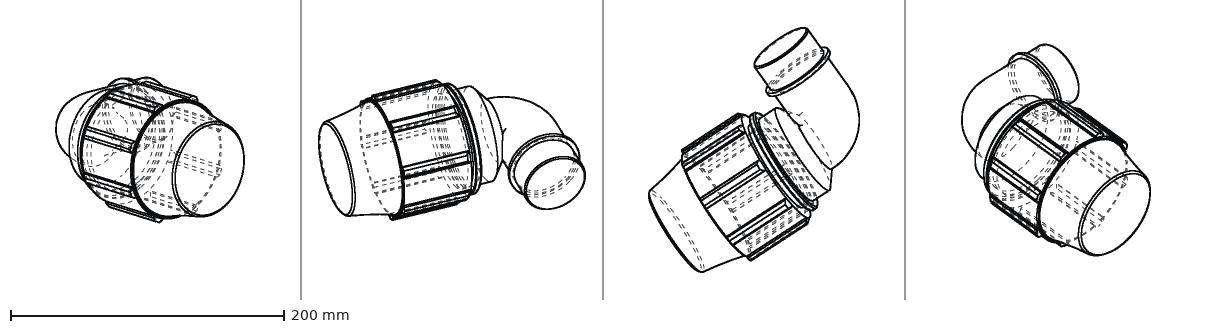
import cadquery as cq
import math

pipe_radius = 23.92
flange_radius = 27.52
spigot_end = 74.0
spigot_chamfer = 1.0
spigot_flange_start = 49.5
spigot_flange_thickness = 2.7
bend_radius = 19.5

cone_start = 20.8
cone_end = 30.5
neck_radius = 36.0
collar_start = 45.0
collar_end = 49.7
collar_radius = 41.75
collar_front_chamfer = 1.2
collar_rear_chamfer = 0.7

total_length = 171.5
body_end = total_length - flange_radius
nut_start = 54.2
nut_end = 108.0
nut_radius = 44.8
nut_chamfer = 0.9
tail_start_radius = 42.7
tail_end_radius = 35.7
tail_hollow = 0.6
tail_chamfer = 1.5

rib_count = 8
rib_tip = 47.98
rib_shoulder = 46.0
rib_root = 42.9
rib_tip_width = 4.5
rib_base_width = 9.0
rib_end = nut_end - nut_chamfer
rib_end_slope = 3.1


def make_spigot():
    """Straight pipe with a chamfered mouth and a thin flange."""
    profile = (
        cq.Workplane("XY")
        .moveTo(0, bend_radius)
        .lineTo(pipe_radius, bend_radius)
        .lineTo(pipe_radius, spigot_flange_start)
        .lineTo(flange_radius, spigot_flange_start)
        .lineTo(flange_radius, spigot_flange_start + spigot_flange_thickness)
        .lineTo(pipe_radius, spigot_flange_start + spigot_flange_thickness)
        .lineTo(pipe_radius, spigot_end - spigot_chamfer)
        .lineTo(pipe_radius - spigot_chamfer, spigot_end)
        .lineTo(0, spigot_end)
        .close()
    )
    return profile.revolve(360, (0, 0, 0), (0, 1, 0))


def make_elbow():
    """Quarter bend; the pipe section is cut off flat where it meets the bend axis."""
    half_chord = math.sqrt(pipe_radius**2 - bend_radius**2)
    section = (
        cq.Workplane("XZ", origin=(0, bend_radius, 0))
        .moveTo(bend_radius, -half_chord)
        .threePointArc((-pipe_radius, 0), (bend_radius, half_chord))
        .close()
    )
    return section.revolve(90, (bend_radius, 0, 0), (bend_radius, 1, 0))


def make_body():
    """Cone, neck, collar, nut and tapering tail, turned about X."""
    tail_middle = (
        (nut_end + body_end - tail_chamfer) / 2,
        (tail_start_radius + tail_end_radius) / 2 - tail_hollow,
    )
    profile = (
        cq.Workplane("XY")
        .moveTo(bend_radius, 0)
        .lineTo(bend_radius, pipe_radius)
        .lineTo(cone_start, pipe_radius)
        .lineTo(cone_end, neck_radius)
        .lineTo(collar_start, neck_radius)
        .lineTo(collar_start, collar_radius - collar_front_chamfer)
        .lineTo(collar_start + collar_front_chamfer, collar_radius)
        .lineTo(collar_end - collar_rear_chamfer, collar_radius)
        .lineTo(collar_end, collar_radius - collar_rear_chamfer)
        .lineTo(collar_end, neck_radius)
        .lineTo(nut_start, neck_radius)
        .lineTo(nut_start, nut_radius)
        .lineTo(nut_end - nut_chamfer, nut_radius)
        .lineTo(nut_end, nut_radius - nut_chamfer)
        .lineTo(nut_end, tail_start_radius)
        .threePointArc(tail_middle, (body_end - tail_chamfer, tail_end_radius))
        .lineTo(body_end, tail_end_radius - tail_chamfer)
        .lineTo(body_end, 0)
        .close()
    )
    return profile.revolve(360, (0, 0, 0), (1, 0, 0))


def make_rib():
    """Grip rib with upright flanks and a tapered crest on the +Z side, with a sloped front end."""
    section = (
        cq.Workplane("YZ", origin=(nut_start, 0, 0))
        .moveTo(-rib_base_width / 2, rib_root)
        .lineTo(-rib_base_width / 2, rib_shoulder)
        .lineTo(-rib_tip_width / 2, rib_tip)
        .lineTo(rib_tip_width / 2, rib_tip)
        .lineTo(rib_base_width / 2, rib_shoulder)
        .lineTo(rib_base_width / 2, rib_root)
        .close()
    )
    side_outline = (
        cq.Workplane("XZ")
        .moveTo(nut_start, rib_root)
        .lineTo(nut_start, nut_radius)
        .lineTo(nut_start + rib_end_slope, rib_tip)
        .lineTo(rib_end, rib_tip)
        .lineTo(rib_end, rib_root)
        .close()
    )
    bar = section.extrude(rib_end - nut_start)
    return bar.intersect(side_outline.extrude(rib_base_width, both=True))


result = make_body().union(make_elbow()).union(make_spigot())

rib = make_rib()
rib_pitch = 360 / rib_count
for index in range(rib_count):
    angle = (index + 0.5) * rib_pitch
    result = result.union(rib.rotate((0, 0, 0), (1, 0, 0), angle))